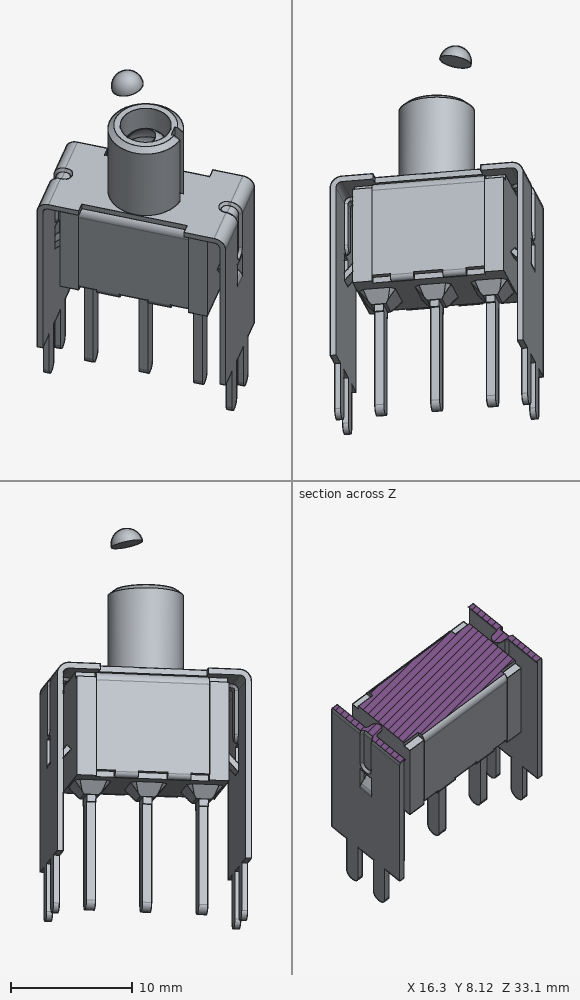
import cadquery as cq
import math


bracket_length = 16.27
bracket_width = 8.12
bracket_top = 20.67
bracket_sheet = 0.5
bracket_bend = 1.0
bracket_shoulder = 4.7
notch_length = 9.08
notch_gap = 6.35
leg_outer = bracket_length / 2
leg_inner = leg_outer - bracket_sheet
bracket_under = bracket_top - bracket_sheet

tail_width = 1.35
tail_offset = 1.6

rib_width = 1.33
rib_floor_width = 0.93
rib_depth = 0.25
rib_bottom = 15.3
rib_reach = 6.33

window_bottom = 12.72
window_top = 15.15
tongue_bend = 0.23
tongue_angle = 47.0

base_length = 12.72
base_bottom = 11.33
end_block_width = 6.85
cover_length = 9.48

cover_width = 7.0
cover_bottom = 11.83
cover_sheet = 0.5
cover_bend = 0.75
fold_offset = 2.203
fold_length = 1.95
fold_bottom = 11.3
fold_radius = 0.43
base_width = cover_width - 2 * cover_sheet
cover_under = bracket_under - cover_sheet

terminal_pitch = 4.7
terminal_thickness = 0.75
terminal_bottom = 0.73
terminal_shoulder_width = 1.7
terminal_shoulder_bottom = 9.7
mound_bottom = 10.3
mound_length = 3.05
mound_width = 3.65
mound_corner = 0.4
mound_angle = 41.0

bushing_diameter = 6.25
bushing_top = 27.85
bushing_chamfer_height = 0.4
bushing_chamfer_width = 0.5
bore_diameter = 4.2
keyway_width = 1.0
keyway_floor = 2.35

lever_tilt = 12.5
tip_top = 33.13
tip_radius = 1.33
ball_radius = bore_diameter / 2
ball_wall = 0.05
socket_diameter = 2.4
ball_height = 24.7
lever_sin = math.sin(math.radians(lever_tilt))
lever_cos = math.cos(math.radians(lever_tilt))
tip_height = tip_top - tip_radius
tip_x = -(tip_height - ball_height) * lever_sin / lever_cos


def block(length, width, bottom, top):
    """Box centred on the Z axis between two heights."""
    return cq.Workplane("XY").workplane(offset=bottom).rect(length, width).extrude(top - bottom)


def tail(width, thickness, bottom, top):
    """Flat strip, thin along X, with a fully rounded lower end."""
    radius = width / 2
    return (
        cq.Workplane("YZ")
        .moveTo(radius, top)
        .lineTo(radius, bottom + radius)
        .threePointArc((0, bottom), (-radius, bottom + radius))
        .lineTo(-radius, top)
        .close()
        .extrude(thickness / 2, both=True)
    )


def both_ends(shape):
    """The shape together with its mirror image across X = 0."""
    return shape.union(shape.mirror("YZ"))


def rib_form(inset):
    """Rib over the +X bend, its wide side lying `inset` below the outer sheet surface."""
    surface_x = leg_outer - inset
    surface_z = bracket_top - inset
    bend_radius = bracket_bend - inset
    bend_x = leg_outer - bracket_bend
    bend_z = bracket_top - bracket_bend
    half_width = rib_width / 2
    half_floor = rib_floor_width / 2
    leg_end = rib_bottom + half_width
    top_end = rib_reach + half_width

    path = (
        cq.Workplane("XZ")
        .moveTo(surface_x, leg_end)
        .lineTo(surface_x, bend_z)
        .radiusArc((bend_x, surface_z), -bend_radius)
        .lineTo(top_end, surface_z)
    )
    run = (
        cq.Workplane("XY", origin=(surface_x, 0, leg_end))
        .polyline([
            (0, -half_width),
            (0, half_width),
            (-rib_depth, half_floor),
            (-rib_depth, -half_floor),
        ])
        .close()
        .sweep(path)
    )
    leg_cone = cq.Solid.makeCone(
        half_width, half_floor, rib_depth, cq.Vector(surface_x, 0, leg_end), cq.Vector(-1, 0, 0)
    )
    top_cone = cq.Solid.makeCone(
        half_width, half_floor, rib_depth, cq.Vector(top_end, 0, surface_z), cq.Vector(0, 0, -1)
    )
    return run.union(cq.Workplane(leg_cone)).union(cq.Workplane(top_cone))


def make_tongue():
    """Latch tongue of the +X leg, rising inward until its tip meets the base."""
    angle = math.radians(tongue_angle)
    along_x, along_z = -math.cos(angle), math.sin(angle)
    bend_corner = window_bottom + tongue_bend
    face_start = (leg_outer + tongue_bend * along_x, bend_corner + tongue_bend * along_z)

    lower_drop = bracket_sheet / math.cos(angle)
    tip_x = base_length / 2
    tip_z = bend_corner - lower_drop + (leg_outer - tip_x) * math.tan(angle)
    root_z = bend_corner - lower_drop + bracket_sheet * math.tan(angle)
    upper_tip = (tip_x + bracket_sheet * along_z, tip_z - bracket_sheet * along_x)

    return (
        cq.Workplane("XZ")
        .moveTo(leg_inner, window_bottom - bracket_sheet)
        .lineTo(leg_outer, window_bottom - bracket_sheet)
        .lineTo(leg_outer, window_bottom)
        .tangentArcPoint(face_start, relative=False)
        .lineTo(*upper_tip)
        .lineTo(tip_x, tip_z)
        .lineTo(leg_inner, root_z)
        .close()
        .extrude(tail_width / 2, both=True)
    )


def make_bracket():
    outside = (
        block(bracket_length, bracket_width, bracket_shoulder, bracket_top)
        .edges("|Y and >Z")
        .fillet(bracket_bend)
    )
    inside = (
        block(2 * leg_inner, bracket_width, bracket_shoulder, bracket_under)
        .edges("|Y and >Z")
        .fillet(bracket_bend - bracket_sheet)
    )
    notches = block(notch_length, bracket_width, bracket_under, bracket_top).cut(
        block(notch_length, notch_gap, bracket_under, bracket_top)
    )
    bracket = outside.cut(inside).cut(notches)

    leg_middle = (leg_outer + leg_inner) / 2
    for side in (-1, 1):
        for y in (-tail_offset, tail_offset):
            strip = tail(tail_width, bracket_sheet, 0, bracket_shoulder)
            bracket = bracket.union(strip.translate((side * leg_middle, y, 0)))

    window = block(bracket_sheet, tail_width, window_bottom, window_top).translate((leg_middle, 0, 0))
    bracket = bracket.union(both_ends(rib_form(bracket_sheet)))
    bracket = bracket.cut(both_ends(rib_form(0)))
    bracket = bracket.cut(both_ends(window))
    return bracket.union(both_ends(make_tongue()))


def make_base():
    """Core under the cover, with a wider, exposed block at each end."""
    core = block(base_length, base_width, base_bottom, cover_under)
    end_length = (base_length - cover_length) / 2
    end_block = block(end_length, end_block_width, base_bottom, cover_under)
    return core.union(both_ends(end_block.translate(((base_length - end_length) / 2, 0, 0))))


def make_cover():
    """Sheet over the core: flat top, rounded long edges, and tabs folded under the sides."""
    cover = block(cover_length, cover_width, cover_bottom, bracket_under)
    cover = cover.edges("|X and >Z").fillet(cover_bend)
    top_width = cover_width - 2 * cover_bend
    cover = cover.union(block(base_length, top_width, cover_under, bracket_under))

    fold = (
        block(fold_length, cover_width, fold_bottom, cover_bottom)
        .edges("|X and <Z")
        .fillet(fold_radius)
        .cut(block(fold_length, base_width, fold_bottom, cover_bottom))
    )
    return cover.union(both_ends(fold.translate((fold_offset, 0, 0))))


def make_terminal():
    """Blade with a shoulder, held in a sealing mound under the base."""
    mound_sketch = cq.Sketch().rect(mound_length, mound_width).vertices().chamfer(mound_corner)
    mound = (
        cq.Workplane("XY", origin=(0, 0, base_bottom))
        .placeSketch(mound_sketch)
        .extrude(mound_bottom - base_bottom, taper=mound_angle)
    )
    shoulder = block(terminal_thickness, terminal_shoulder_width, terminal_shoulder_bottom, mound_bottom)
    blade = tail(tail_width, terminal_thickness, terminal_bottom, terminal_shoulder_bottom)
    return mound.union(shoulder).union(blade)


def make_bushing():
    """Chamfered sleeve with a keyway; its bore ends at the middle of the ball."""
    radius = bushing_diameter / 2
    height = bushing_top - bracket_top
    sleeve = (
        cq.Workplane("XY", origin=(0, 0, bracket_top))
        .circle(radius)
        .extrude(height)
        .faces(">Z")
        .edges()
        .chamfer(bushing_chamfer_height, bushing_chamfer_width)
    )
    bore = (
        cq.Workplane("XY", origin=(0, 0, ball_height))
        .circle(bore_diameter / 2)
        .extrude(bushing_top - ball_height)
    )
    keyway_depth = radius - keyway_floor
    keyway = block(keyway_depth, keyway_width, bracket_top, bushing_top)
    return sleeve.cut(bore).cut(keyway.translate((keyway_floor + keyway_depth / 2, 0, 0)))


def lever_plane(x, z):
    """Plane square to the tilted lever axis."""
    return cq.Plane(origin=(x, 0, z), xDir=(lever_cos, 0, lever_sin), normal=(-lever_sin, 0, lever_cos))


def make_ball():
    return cq.Workplane("XY", origin=(0, 0, ball_height)).sphere(ball_radius)


def make_socket():
    """Round cavity in the ball, with its mouth along the lever axis."""
    cavity = cq.Workplane("XY", origin=(0, 0, ball_height)).sphere(ball_radius - ball_wall)
    mouth = cq.Workplane(lever_plane(0, ball_height)).circle(socket_diameter / 2).extrude(ball_radius)
    return cavity.union(mouth)


def make_lever_tip():
    """Half sphere, flat side facing down the lever axis."""
    plane = lever_plane(tip_x, tip_height)
    sphere = cq.Workplane(plane).sphere(tip_radius)
    upper_half = cq.Workplane(plane).circle(2 * tip_radius).extrude(2 * tip_radius)
    return sphere.intersect(upper_half)


def make_switch():
    """Bracket, base, cover, terminals, bushing and ball as one solid."""
    switch = make_bracket().union(make_base()).union(make_cover())
    for position in (-1, 0, 1):
        switch = switch.union(make_terminal().translate((position * terminal_pitch, 0, 0)))
    return switch.union(make_bushing()).union(make_ball()).cut(make_socket())


switch_body = make_switch()
lever_tip = make_lever_tip()

result = cq.Compound.makeCompound([switch_body.solids().val(), lever_tip.val()])